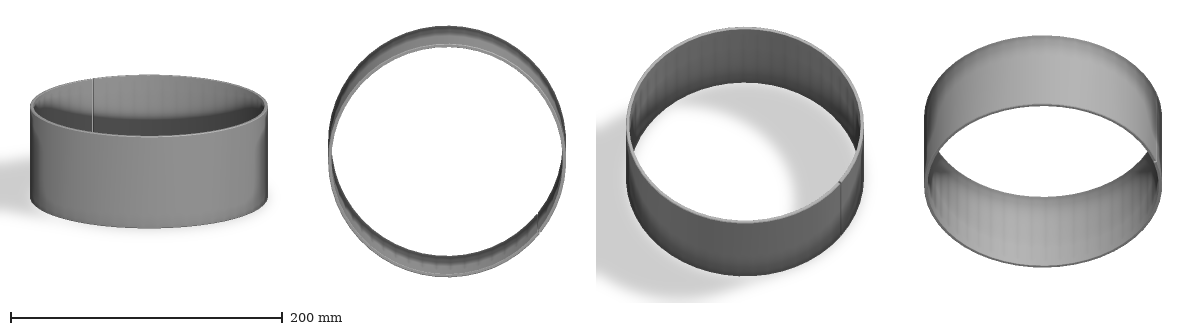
import cadquery as cq

outer_diameter = 175.0
wall_thickness = 2.5
ring_height = 70.0
outer_chamfer = 0.5
inner_chamfer = 0.2
split_angle = 1.0

outer_radius = outer_diameter / 2
inner_radius = outer_radius - wall_thickness
half_height = ring_height / 2
full_turn = 360.0


def wall_section():
    """Wall cross-section on the -X side, with all four corners chamfered."""
    return (
        cq.Workplane("XZ")
        .moveTo(-inner_radius, -half_height + inner_chamfer)
        .lineTo(-inner_radius - inner_chamfer, -half_height)
        .lineTo(-outer_radius + outer_chamfer, -half_height)
        .lineTo(-outer_radius, -half_height + outer_chamfer)
        .lineTo(-outer_radius, half_height - outer_chamfer)
        .lineTo(-outer_radius + outer_chamfer, half_height)
        .lineTo(-inner_radius - inner_chamfer, half_height)
        .lineTo(-inner_radius, half_height - inner_chamfer)
        .close()
    )


result = wall_section().revolve(full_turn - split_angle, (0, 0, 0), (0, 1, 0))